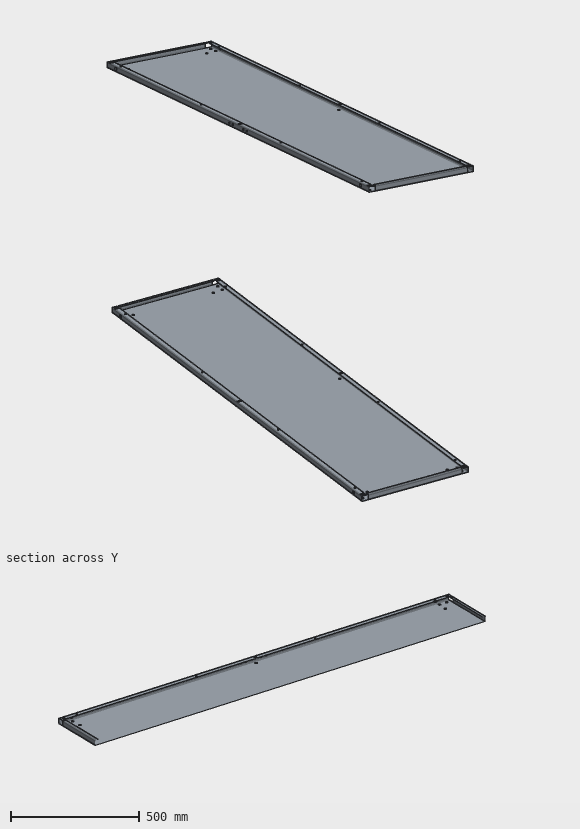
import cadquery as cq

length = 1883.0
width = 485.0
height = 25.0
sheet = 1.5
bend_outer = 2 * sheet
bend_inner = bend_outer - sheet

end_setback = 2.0
side_length = length - 2 * end_setback
side_flange = 23.0

end_flange = 14.1
end_length = 427.0

slit_width = 8.0
slit_xs = (0, 925.0)

mount_hole_x = 881.0
mount_hole_y = 183.0
mount_hole_diameter = 10.0

drain_hole_xs = (0, 885.0, 919.0)
drain_hole_y = 226.0
drain_hole_diameter = 10.0

flange_hole_xs = (286.0, 865.0)
flange_hole_y = 228.0
flange_hole_diameter = 6.5

wall_hole_x = 877.0
wall_hole_diameter = 13.0
front_hole_xs = (38.0, 62.0)
front_hole_diameter = 8.0


def folded_channel(plane, bend_axis, span, flange, run):
    """Floor with two opposite edges turned up and inward, centred on the origin."""

    def bar(bar_span, bar_height, radius):
        block = cq.Workplane(plane).rect(bar_span, bar_height).extrude(run / 2, both=True)
        return block.edges("|" + bend_axis).fillet(radius)

    outside = bar(span, height, bend_outer)
    inside = bar(span - 2 * sheet, height - 2 * sheet, bend_inner)
    opening = (
        cq.Workplane(plane)
        .center(0, height / 2)
        .rect(span - 2 * flange, height)
        .extrude(run / 2, both=True)
    )
    return outside.cut(inside).cut(opening)


def drill(plane, start, depth, diameter, points):
    """Round cutters of one diameter, beginning at an offset from the middle plane."""
    face = cq.Workplane(plane).workplane(offset=start)
    return face.pushPoints(points).circle(diameter / 2).extrude(depth)


def both_signs(values):
    """Each value with its mirror image; a value of zero is kept once."""
    return sorted({sign * value for value in values for sign in (-1, 1)})


def mirrored_grid(xs, y):
    return [(x, side_y) for x in both_signs(xs) for side_y in (-y, y)]


floor_bottom = -height / 2
flange_bottom = height / 2 - sheet

long_sides = folded_channel("YZ", "X", width, side_flange, side_length)
slits = (
    cq.Workplane("XY")
    .workplane(offset=flange_bottom)
    .pushPoints([(x, 0) for x in both_signs(slit_xs)])
    .rect(slit_width, width - 2 * bend_outer)
    .extrude(sheet)
)
short_sides = folded_channel("XZ", "Y", length, end_flange, end_length)
panel = long_sides.cut(slits).union(short_sides)

mount_holes = drill(
    "XY", floor_bottom, sheet, mount_hole_diameter, mirrored_grid([mount_hole_x], mount_hole_y)
)
drain_holes = drill(
    "XY", floor_bottom, sheet, drain_hole_diameter, mirrored_grid(drain_hole_xs, drain_hole_y)
)
flange_holes = drill(
    "XY", flange_bottom, sheet, flange_hole_diameter, mirrored_grid(flange_hole_xs, flange_hole_y)
)
wall_holes = drill(
    "XZ", -width / 2, width, wall_hole_diameter, [(x, 0) for x in both_signs([wall_hole_x])]
)
front_holes = drill(
    "XZ", width / 2 - sheet, sheet, front_hole_diameter, [(x, 0) for x in both_signs(front_hole_xs)]
)

result = panel
for cutter in (mount_holes, drain_holes, flange_holes, wall_holes, front_holes):
    result = result.cut(cutter)